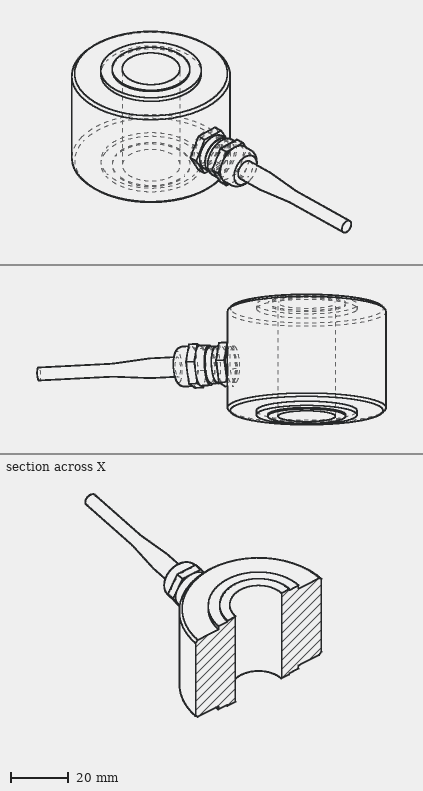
import cadquery as cq
import math

housing_diameter = 55.0
total_height = 40.0
bore_diameter = 20.0
housing_chamfer = 1.0
step_diameter = 35.0
step_height = 1.5
pad_diameter = 27.0
pad_height = 0.5
body_height = total_height - 2 * (step_height + pad_height)
housing_radius = housing_diameter / 2

gland_height = -0.2

spigot_start = 26.0
first_hex_start = 27.5
hex_width = 3.0
hex_across_flats = 14.0
hex_across_corners = hex_across_flats / math.cos(math.radians(30))
spigot_diameter = 12.6
ring_round_radius = 0.7
ring_diameter = 13.0
groove_diameter = ring_diameter - 2 * ring_round_radius
rim_diameter = 12.0
rim_run = 0.7
first_ring_flat_start = 30.9
first_ring_flat_end = 32.0
second_ring_flat_start = first_ring_flat_end + 2 * ring_round_radius
second_ring_flat_end = 34.2
cap_start = second_ring_flat_end + rim_run
cap_end = 46.5
cap_diameter = hex_across_flats
cap_round_length = 2.4
cap_round_depth = 1.5
second_hex_start = 38.3

overall_length = 124
cable_end = overall_length - housing_radius
cable_diameter = 4.6
relief_diameter = 7.0
taper_start = 56.4
taper_length = 13.5


def rod(diameter, start, end):
    """Cylinder along the X axis between two places."""
    return cq.Workplane("YZ", origin=(start, 0, 0)).circle(diameter / 2).extrude(end - start)


def hexagon(start):
    """Hexagonal flange with flats facing up and down."""
    return (
        cq.Workplane("YZ", origin=(start, 0, 0))
        .polygon(6, hex_across_corners)
        .extrude(hex_width)
    )


def make_rings():
    """Two round-shouldered rings that meet in a sharp groove."""
    ring_radius = ring_diameter / 2
    groove_radius = groove_diameter / 2
    start = first_hex_start + hex_width
    start_run = first_ring_flat_start - start
    start_drop = ring_round_radius - math.sqrt(ring_round_radius**2 - start_run**2)
    groove = first_ring_flat_end + ring_round_radius
    return (
        cq.Workplane("XY")
        .moveTo(start, 0)
        .lineTo(start, ring_radius - start_drop)
        .radiusArc((first_ring_flat_start, ring_radius), ring_round_radius)
        .lineTo(first_ring_flat_end, ring_radius)
        .radiusArc((groove, groove_radius), ring_round_radius)
        .radiusArc((second_ring_flat_start, ring_radius), ring_round_radius)
        .lineTo(second_ring_flat_end, ring_radius)
        .tangentArcPoint((cap_start, rim_diameter / 2), relative=False)
        .lineTo(cap_start, 0)
        .close()
        .revolve(360, (0, 0, 0), (1, 0, 0))
    )


def to_gland_height(shape):
    """Move a shape built on the X axis to the centre line of the gland."""
    return shape.translate((0, 0, gland_height))


def disc(diameter, height):
    """Disc about the Z axis, centred on Z = 0."""
    return cq.Workplane("XY").circle(diameter / 2).extrude(height / 2, both=True)


def make_housing():
    body = disc(housing_diameter, body_height).edges().chamfer(housing_chamfer)
    steps = disc(step_diameter, body_height + 2 * step_height)
    pads = disc(pad_diameter, total_height)
    bore = disc(bore_diameter, total_height)
    spigot_hole = to_gland_height(rod(spigot_diameter, spigot_start, housing_radius))
    return body.union(steps).union(pads).cut(bore).cut(spigot_hole)


def make_cap():
    """Gland cap with a rounded outer rim."""
    radius = cap_diameter / 2
    shoulder = cap_end - cap_round_length
    return (
        cq.Workplane("XY")
        .moveTo(cap_start, 0)
        .lineTo(cap_start, radius)
        .lineTo(shoulder, radius)
        .tangentArcPoint((cap_end, radius - cap_round_depth), relative=False)
        .lineTo(cap_end, 0)
        .close()
        .revolve(360, (0, 0, 0), (1, 0, 0))
    )


def make_gland():
    return (
        rod(spigot_diameter, spigot_start, first_hex_start)
        .union(hexagon(first_hex_start))
        .union(make_rings())
        .union(make_cap())
        .union(hexagon(second_hex_start))
    )


def make_cable():
    """Relief cylinder, cone and cable."""
    relief_radius = relief_diameter / 2
    cable_radius = cable_diameter / 2
    taper_end = taper_start + taper_length
    return (
        cq.Workplane("XY")
        .moveTo(cap_end, 0)
        .lineTo(cap_end, relief_radius)
        .lineTo(taper_start, relief_radius)
        .lineTo(taper_end, cable_radius)
        .lineTo(cable_end, cable_radius)
        .lineTo(cable_end, 0)
        .close()
        .revolve(360, (0, 0, 0), (1, 0, 0))
    )


housing = make_housing()
gland = to_gland_height(make_gland())
cable = to_gland_height(make_cable())

result = cq.Compound.makeCompound([housing.val(), gland.val(), cable.val()])